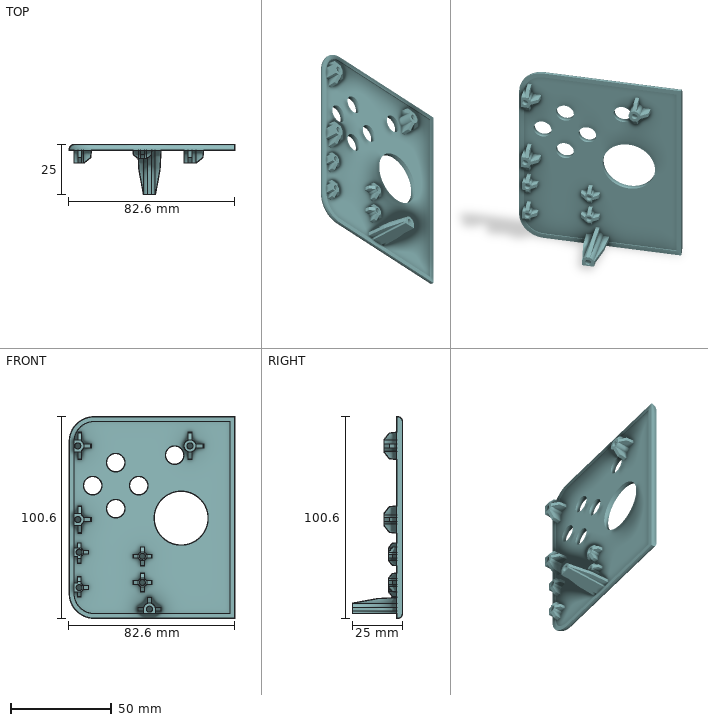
import cadquery as cq

width = 82.6
height = 100.6
thickness = 3.0
corner_radius = 12.6
back_edge_radius = 2.5
rim_width = 2.4
recess_depth = 0.5

button_hole_radius = 4.5
button_pitch = 11.5
button_cross_x = 23.2
button_cross_z = 66.2
single_hole_x = 52.6
single_hole_z = 81.4
speaker_hole_radius = 13.4
speaker_hole_x = 55.8
speaker_hole_z = 50.0

screw_hole_radius = 1.5
rib_thickness = 1.9

large_post_radius = 3.0
large_post_height = 6.3
large_rib_profile = [(6.8, 0.0), (6.4, 3.6)]
large_post_left_x = 4.3
large_post_right_x = 60.2
large_post_upper_z = 86.0
large_post_lower_z = 49.3
large_side_rib_shift = rib_thickness / 2

small_post_radius = 2.2
small_post_height = 4.0
small_rib_profile = [(4.7, 0.0), (4.5, 2.1)]
small_post_left_x = 5.0
small_post_left_zs = (33.0, 15.4)
small_facing_rib_shift = 0.8
small_post_inner_x = 36.5
small_post_inner_zs = (31.0, 17.9)

tall_post_radius = 3.0
tall_post_height = 22.0
tall_rib_profile = [(5.8, 0.0), (5.3, 9.5)]
tall_post_x = 40.0
tall_post_z = 4.6


def solid_along_y(outline, y_front, y_back):
    """Extrude an outline drawn in (X, Z) from y_front back to y_back."""
    return outline.extrude(y_front - y_back).translate((0, y_front, 0))


def block(x0, x1, z0, z1, y_front, y_back):
    outline = cq.Workplane("XZ").center((x0 + x1) / 2, (z0 + z1) / 2).rect(x1 - x0, z1 - z0)
    return solid_along_y(outline, y_front, y_back)


def cylinder(x, z, radius, y_front, y_back):
    return solid_along_y(cq.Workplane("XZ").center(x, z).circle(radius), y_front, y_back)


def round_left_corners(plate, radius):
    return plate.edges("|Y and <X").fillet(radius)


def make_panel():
    panel = round_left_corners(block(0, width, 0, height, 0, thickness), corner_radius)
    panel = panel.faces(">Y").edges("not >X").fillet(back_edge_radius)
    recess = block(rim_width, width - rim_width, rim_width, height - rim_width, 0, recess_depth)
    recess = round_left_corners(recess, corner_radius - rim_width)
    return panel.cut(recess)


def make_through_holes():
    holes = cylinder(speaker_hole_x, speaker_hole_z, speaker_hole_radius, 0, thickness)
    centres = [(single_hole_x, single_hole_z)]
    for dx, dz in ((1, 0), (-1, 0), (0, 1), (0, -1)):
        centres.append((button_cross_x + dx * button_pitch, button_cross_z + dz * button_pitch))
    for x, z in centres:
        holes = holes.union(cylinder(x, z, button_hole_radius, 0, thickness))
    return holes


def make_rib(x, z, angle, profile, post_radius, post_height):
    """Rib from the post axis outward: slightly drafted, then sloping up to the post's tip."""
    reach = profile[0][0]
    points = [(0, recess_depth), (reach, recess_depth)]
    points += [(out, -rise) for out, rise in profile]
    points += [(post_radius, -post_height), (0, -post_height)]
    rib = cq.Workplane("XY").polyline(points).close().extrude(rib_thickness / 2, both=True)
    return rib.rotate((0, 0, 0), (0, 1, 0), -angle).translate((x, 0, z))


def make_post(x, z, radius, post_height, profile, angles, flat_side=None, shift_x=0, shift_z=None):
    """Post with ribs at the given angles (0 = +X, 90 = +Z).

    flat_side fills the post out square against the inner edge of the rim.
    shift_x moves the ribs that run along Z sideways off the post axis.
    shift_z maps a rib angle to the distance that rib is moved along Z.
    """
    shift_z = shift_z or {}
    post = cylinder(x, z, radius, -post_height, recess_depth)
    for angle in angles:
        rib_x = x + (shift_x if angle in (90, 270) else 0)
        rib_z = z + shift_z.get(angle, 0)
        post = post.union(make_rib(rib_x, rib_z, angle, profile, radius, post_height))
    if flat_side == "left":
        post = post.union(block(rim_width, x, z - radius, z + radius, -post_height, recess_depth))
    if flat_side == "bottom":
        post = post.union(block(x - radius, x + radius, rim_width, z, -post_height, recess_depth))
    inside_rim = block(
        rim_width, width - rim_width, rim_width, height - rim_width, -post_height, recess_depth
    )
    post = post.intersect(inside_rim)
    return post.cut(cylinder(x, z, screw_hole_radius, -post_height, recess_depth))


def make_large_posts():
    size = (large_post_radius, large_post_height, large_rib_profile)
    posts = [make_post(large_post_right_x, large_post_upper_z, *size, (0, 90, 270))]
    for z in (large_post_upper_z, large_post_lower_z):
        posts.append(
            make_post(large_post_left_x, z, *size, (0, 90, 270), "left", shift_x=large_side_rib_shift)
        )
    return posts


def make_small_posts():
    size = (small_post_radius, small_post_height, small_rib_profile)
    posts = [make_post(small_post_inner_x, z, *size, (0, 90, 180, 270)) for z in small_post_inner_zs]
    facing_shifts = ({270: -small_facing_rib_shift}, {90: small_facing_rib_shift})
    for z, shift in zip(small_post_left_zs, facing_shifts):
        posts.append(make_post(small_post_left_x, z, *size, (0, 90, 270), "left", shift_z=shift))
    return posts


def make_tall_post():
    size = (tall_post_radius, tall_post_height, tall_rib_profile)
    return make_post(tall_post_x, tall_post_z, *size, (0, 90, 180), "bottom")


result = make_panel().cut(make_through_holes())
for post in make_large_posts() + make_small_posts() + [make_tall_post()]:
    result = result.union(post)